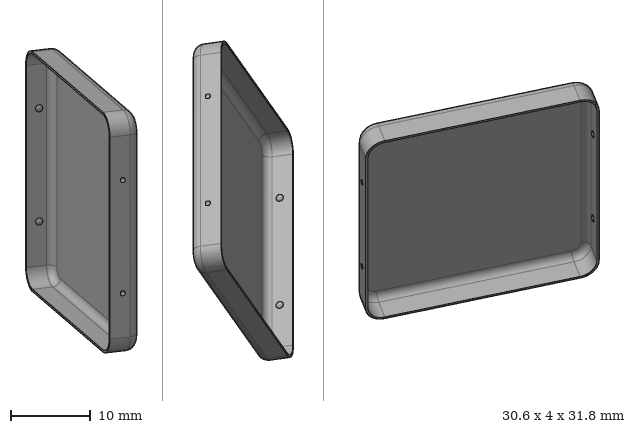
import cadquery as cq

width = 30.6
depth = 4.0
height = 31.8
wall = 0.3
corner_radius = 2.5
rim_radius = 1.3

dimple_diameter = 0.67
dimple_depth = 0.2
dimple_spacing = 15.0
dimple_from_opening = 1.72

open_face_y = -depth / 2
dimple_y = open_face_y + dimple_from_opening
dimple_radius = ((dimple_diameter / 2) ** 2 + dimple_depth ** 2) / (2 * dimple_depth)


def rounded_block(inset, length):
    """Block running +Y from the open face, with its edges and far end rounded."""
    block = cq.Workplane("XY").box(width - 2 * inset, length, height - 2 * inset)
    block = block.edges("|Y").fillet(corner_radius - inset)
    block = block.faces(">Y").edges().fillet(rim_radius - inset)
    return block.translate((0, open_face_y + length / 2, 0))


def dimple_sphere(radius, side, z):
    """Sphere about a dimple's center, set by the dimple depth; side is -1 or 1."""
    center_x = side * (width / 2 - dimple_depth + dimple_radius)
    return cq.Workplane("YZ").sphere(radius).translate((center_x, dimple_y, z))


def press_dimple(tray, side, z):
    """Add the bump inside the wall and cut the hollow outside, keeping the wall thickness."""
    bump = dimple_sphere(dimple_radius + wall, side, z).intersect(rounded_block(wall / 2, depth))
    hollow = dimple_sphere(dimple_radius, side, z)
    return tray.union(bump).cut(hollow)


result = rounded_block(0, depth).cut(rounded_block(wall, depth - wall))
for wall_side in (-1, 1):
    for dimple_z in (-dimple_spacing / 2, dimple_spacing / 2):
        result = press_dimple(result, wall_side, dimple_z)